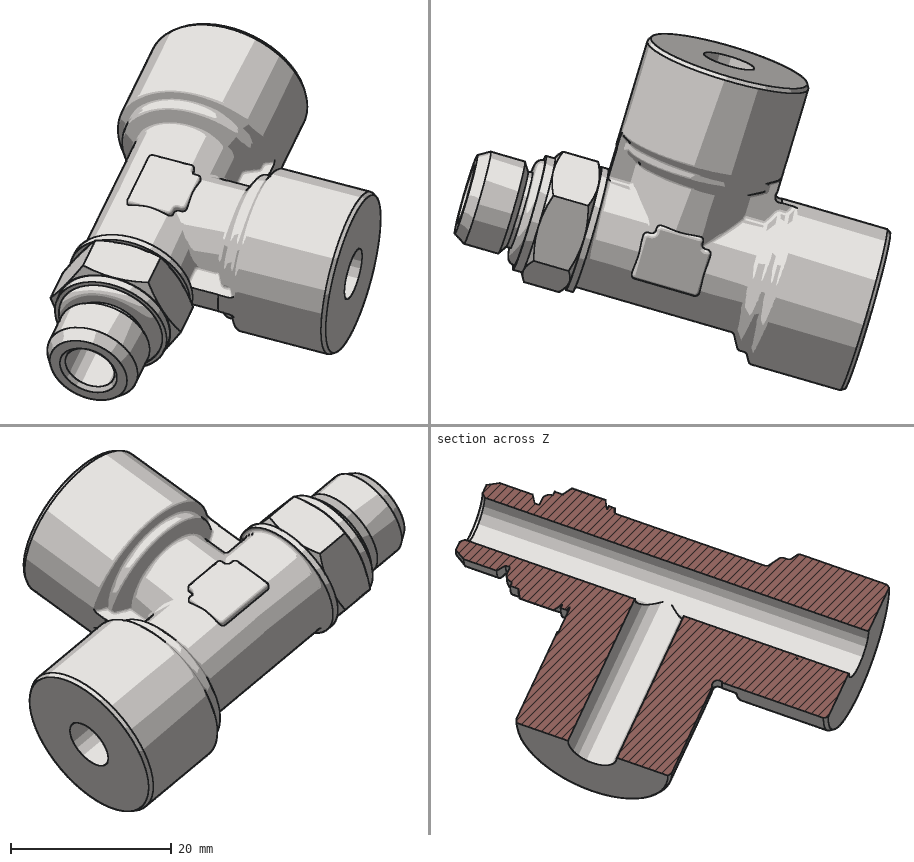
import cadquery as cq
import math


arm_length = 25.5
body_radius = 7.3
collar_radius = 9.25
socket_radius = 10.5
body_end = 10.25
collar_end = 12.5
cone_slope = math.tan(math.radians(60))
collar_start = body_end + (collar_radius - body_radius) / cone_slope
mouth_chamfer_length = 0.5
mouth_chamfer_depth = 0.3

web_thickness = 3.05
web_reach = 10.35
web_corner_fillet = 0.65
blend_radius = 0.5

pad_half_width = 3.05
pad_half_length = 4.4
pad_height = 7.45
pad_corner_fillet = 0.5
pad_edge_fillet = 0.45

shoulder_radius = 8.015
shoulder_start = socket_radius
shoulder_blend = 0.5
hex_start = 11.4
hex_end = 17.3
hex_across_flats = 15.0
hex_chamfer_angle = math.radians(30)
seat_radius = 7.4
seat_end = 18.45
seal_radius = 6.85
seal_rounding = 1.05
neck_radius = 4.9
neck_end = 20.05
thread_radius = 6.0
thread_start = 20.8
thread_end = 25.2
tip_radius = 5.1
male_length = 26.7

bore_radius = 3.26
bore_chamfer = 0.5


def turned(outline):
    """Revolve a closed XY outline about the Y axis."""
    return outline.close().revolve(360, (0, 0, 0), (0, 1, 0))


def make_socket_arm():
    """Body, collar and socket turned about the Y axis, pointing to +Y."""
    socket_start = collar_end + (socket_radius - collar_radius) / cone_slope
    outline = cq.Workplane("XY").polyline([
        (0, 0),
        (body_radius, 0),
        (body_radius, body_end),
        (collar_radius, collar_start),
        (collar_radius, collar_end),
        (socket_radius, socket_start),
        (socket_radius, arm_length - mouth_chamfer_length),
        (socket_radius - mouth_chamfer_depth, arm_length),
        (0, arm_length),
    ])
    return turned(outline)


def make_tee():
    """Run and branch joined by webs, with every meeting line blended."""
    oversize = 1.5 * socket_radius
    run_tail = cq.Workplane("XZ").circle(body_radius).extrude(oversize)
    web = (
        cq.Workplane("XY")
        .box(oversize, 2 * oversize, web_thickness)
        .translate((oversize / 2, 0, 0))
    )
    run = make_socket_arm().rotate((0, 0, 0), (0, 1, 0), 90)
    branch = run.rotate((0, 0, 0), (0, 0, 1), -90)
    tee = run.union(branch).union(run_tail).union(web)

    reach = oversize - 0.5
    meeting_lines = cq.selectors.BoxSelector((-reach, -reach, -reach), (reach, reach, reach))
    tee = tee.edges(meeting_lines).fillet(blend_radius)

    trim_size = collar_start - web_reach
    corner_trim = (
        cq.Workplane("XY")
        .box(trim_size, trim_size, oversize, centered=(False, False, True))
        .edges("|Z and <X and <Y")
        .fillet(web_corner_fillet)
        .translate((web_reach, web_reach, 0))
    )
    tail_trim = (
        cq.Workplane("XY")
        .box(2 * collar_start, oversize, 2 * oversize)
        .translate((0, -web_reach - oversize / 2, 0))
    )
    branch_trim = (
        cq.Workplane("YZ", origin=(collar_start, 0, 0))
        .circle(2 * socket_radius)
        .circle(socket_radius)
        .extrude(oversize)
    )
    run_trim = branch_trim.rotate((0, 0, 0), (1, 1, 0), 180)
    for trim in (corner_trim, tail_trim, branch_trim, run_trim):
        tee = tee.cut(trim)
    return tee


def make_pads():
    """Rounded cross through the body whose two ends stand proud as flat pads."""
    along_run = cq.Workplane("XY").box(2 * pad_half_width, 2 * pad_half_length, 2 * pad_height)
    along_branch = (
        cq.Workplane("XY")
        .box(pad_half_length, 2 * pad_half_width, 2 * pad_height)
        .translate((pad_half_length / 2, 0, 0))
    )
    pads = along_run.union(along_branch).edges("|Z").fillet(pad_corner_fillet)
    return pads.faces("<Z or >Z").edges().fillet(pad_edge_fillet)


def make_shoulder():
    """Collar behind the hexagon, running into the body with a concave blend."""
    blend_end = body_radius + shoulder_blend
    outline = (
        cq.Workplane("XY")
        .moveTo(0, -hex_start)
        .lineTo(shoulder_radius, -hex_start)
        .lineTo(shoulder_radius, -shoulder_start)
        .lineTo(blend_end, -shoulder_start)
        .radiusArc((body_radius, shoulder_blend - shoulder_start), shoulder_blend)
        .lineTo(0, shoulder_blend - shoulder_start)
    )
    return turned(outline)


def make_hexagon():
    """Wrench hexagon with corners on +X and -X, chamfered at both ends."""
    corner_radius = hex_across_flats / math.sqrt(3)
    flat_radius = hex_across_flats / 2
    chamfer_length = (corner_radius - flat_radius) * math.tan(hex_chamfer_angle)
    prism = (
        cq.Workplane("XZ", origin=(0, -hex_start, 0))
        .polygon(6, 2 * corner_radius)
        .extrude(hex_end - hex_start)
    )
    envelope = turned(cq.Workplane("XY").polyline([
        (0, -hex_start),
        (flat_radius, -hex_start),
        (corner_radius, -hex_start - chamfer_length),
        (corner_radius, -hex_end + chamfer_length),
        (flat_radius, -hex_end),
        (0, -hex_end),
    ]))
    return prism.intersect(envelope)


def make_male_end():
    """Seat, rounded seal, neck and threaded tip."""
    seal_end = seat_end + seal_rounding
    outline = (
        cq.Workplane("XY")
        .moveTo(0, -hex_end)
        .lineTo(seat_radius, -hex_end)
        .lineTo(seat_radius, -seat_end)
        .lineTo(seal_radius, -seat_end)
        .radiusArc((seal_radius - seal_rounding, -seal_end), seal_rounding)
        .lineTo(neck_radius, -seal_end)
        .lineTo(neck_radius, -neck_end)
        .lineTo(thread_radius, -thread_start)
        .lineTo(thread_radius, -thread_end)
        .lineTo(tip_radius, -male_length)
        .lineTo(0, -male_length)
    )
    return turned(outline)


def make_passage():
    """Bore through the run, widened at the male tip, and a bore from the branch to meet it."""
    mouth_radius = bore_radius + bore_chamfer
    run_bore = turned(cq.Workplane("XY").polyline([
        (0, -male_length),
        (mouth_radius, -male_length),
        (bore_radius, -male_length + bore_chamfer),
        (bore_radius, arm_length),
        (0, arm_length),
    ]))
    branch_bore = cq.Workplane("YZ").circle(bore_radius).extrude(arm_length)
    return run_bore.union(branch_bore)


result = make_tee()
for addition in (make_pads(), make_shoulder(), make_hexagon(), make_male_end()):
    result = result.union(addition)
result = result.cut(make_passage())